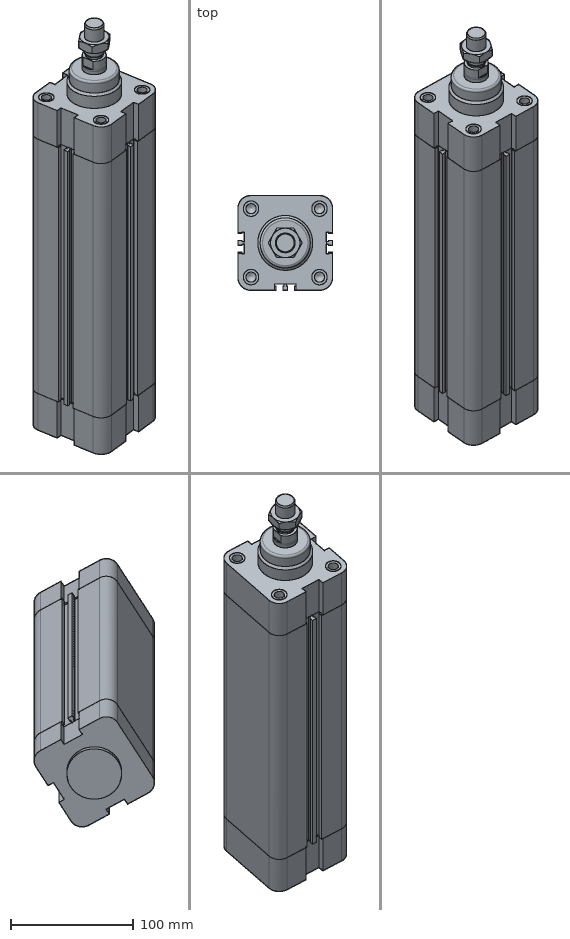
import cadquery as cq
import math

TOTAL_HEIGHT = 394.0

BODY_WIDTH = 77.5
CORNER_RADIUS = 10.5

SPIGOT_HEIGHT = 4.5
CAP_HEIGHT = 36.0
FRONT_CAP_TOP = 325.0
FRONT_CAP_BASE = FRONT_CAP_TOP - CAP_HEIGHT
REAR_CAP_TOP = SPIGOT_HEIGHT + CAP_HEIGHT

COLLAR_DIAMETER = 45.0
COLLAR_STEP_HEIGHT = 13.8
NECK_DIAMETER = 41.0
NECK_TOP = 350.0
CHAMFER_CLEARANCE = 0.005
COLLAR_CHAMFER = (COLLAR_DIAMETER - NECK_DIAMETER) / 2 - CHAMFER_CLEARANCE
NECK_FILLET = 2.0

CAP_SLOT_WIDTH = 17.5
CAP_SLOT_DEPTH = 5.0
BARREL_SLOT_WIDTH = 15.0
BARREL_SLOT_DEPTH = 6.5
BARREL_UNDERCUT_WIDTH = 19.7
BARREL_LIP_THICKNESS = 3.5
BARREL_RIB_WIDTH = 4.0
BARREL_RIB_NECK = 2.5
SLOT_ANGLES = (0, 180, 270)

MOUNT_PITCH = 56.0
MOUNT_HOLE_DIAMETER = 8.3
MOUNT_HOLE_DEPTH = 19.7
COUNTERBORE_DIAMETER = 12.5
COUNTERBORE_DEPTH = 0.5
DRILL_POINT_ANGLE = 118.0

ROD_DIAMETER = 20.0
TIP_DIAMETER = 19.7
TAPER_BASE = 353.0
TAPER_TOP = 354.2
FLATS_BASE = 354.5
FLATS_WIDTH = 17.0
SHOULDER_Z = 363.0
RELIEF_DIAMETER = 14.5
RELIEF_HEIGHT = 2.5
THREAD_DIAMETER = 16.0
THREAD_CHAMFER_HEIGHT = 1.5

NUT_WIDTH = 24.0
NUT_HEIGHT = 8.5
NUT_BASE = 372.0
NUT_CHAMFER_ANGLE = 35.0


def cylinder(diameter, base, top):
    """Solid cylinder on the axis between two heights."""
    return cq.Workplane("XY").workplane(offset=base).circle(diameter / 2).extrude(top - base)


def square_column(base, top):
    """Square column with rounded vertical edges between two heights."""
    column = cq.Workplane("XY").workplane(offset=base).rect(BODY_WIDTH, BODY_WIDTH).extrude(top - base)
    return column.edges("|Z").fillet(CORNER_RADIUS)


def side_box(width, depth, base, top, angle):
    """Box of the given depth lying just inside one side; an angle of 0 puts it on the +X side."""
    box = cq.Workplane("XY").box(depth, width, top - base, centered=(True, True, False))
    box = box.translate((BODY_WIDTH / 2 - depth / 2, 0, base))
    return box.rotate((0, 0, 0), (0, 0, 1), angle)


def slotted_cap(base):
    """Square cap with a plain slot in three of its sides."""
    top = base + CAP_HEIGHT
    cap = square_column(base, top)
    for angle in SLOT_ANGLES:
        cap = cap.cut(side_box(CAP_SLOT_WIDTH, CAP_SLOT_DEPTH, base, top, angle))
    return cap


def mounting_holes():
    """Cutters for the four counterbored blind holes with drill points."""
    radius = MOUNT_HOLE_DIAMETER / 2
    point_depth = radius / math.tan(math.radians(DRILL_POINT_ANGLE / 2))
    cutter = (
        cq.Workplane("XZ")
        .moveTo(0, 0)
        .lineTo(COUNTERBORE_DIAMETER / 2, 0)
        .lineTo(COUNTERBORE_DIAMETER / 2, -COUNTERBORE_DEPTH)
        .lineTo(radius, -COUNTERBORE_DEPTH)
        .lineTo(radius, -MOUNT_HOLE_DEPTH)
        .lineTo(0, -MOUNT_HOLE_DEPTH - point_depth)
        .close()
        .revolve(360, (0, 0, 0), (0, 1, 0))
        .val()
    )
    places = cq.Workplane("XY").workplane(offset=FRONT_CAP_TOP).rect(MOUNT_PITCH, MOUNT_PITCH, forConstruction=True)
    return places.vertices().eachpoint(lambda place: cutter.moved(place))


def make_front_cap():
    """Front cap with its stepped collar, mounting holes and rod bore."""
    step_top = FRONT_CAP_TOP + COLLAR_STEP_HEIGHT
    step = cylinder(COLLAR_DIAMETER, FRONT_CAP_TOP, step_top).faces(">Z").chamfer(COLLAR_CHAMFER)
    neck = cylinder(NECK_DIAMETER, FRONT_CAP_TOP, NECK_TOP).faces(">Z").fillet(NECK_FILLET)
    cap = slotted_cap(FRONT_CAP_BASE).union(step).union(neck)
    return cap.cut(mounting_holes()).cut(cylinder(ROD_DIAMETER, FRONT_CAP_BASE, NECK_TOP))


def make_rear_cap():
    """Rear cap with its round centring spigot."""
    return slotted_cap(SPIGOT_HEIGHT).union(cylinder(COLLAR_DIAMETER, 0, SPIGOT_HEIGHT))


def barrel_slot(angle):
    """Cutter for a pair of undercut grooves with a rib between them, in one side of the barrel."""
    span = (REAR_CAP_TOP, FRONT_CAP_BASE, angle)
    mouth = side_box(BARREL_SLOT_WIDTH, BARREL_LIP_THICKNESS, *span)
    mouth = mouth.cut(side_box(BARREL_RIB_WIDTH, BARREL_LIP_THICKNESS, *span))
    undercut = side_box(BARREL_UNDERCUT_WIDTH, BARREL_SLOT_DEPTH, *span)
    undercut = undercut.cut(side_box(BARREL_RIB_NECK, BARREL_SLOT_DEPTH, *span))
    undercut = undercut.cut(side_box(BODY_WIDTH, BARREL_LIP_THICKNESS, *span))
    return mouth.union(undercut)


def make_barrel():
    """Barrel with a pair of undercut grooves in three of its sides."""
    barrel = square_column(REAR_CAP_TOP, FRONT_CAP_BASE)
    for angle in SLOT_ANGLES:
        barrel = barrel.cut(barrel_slot(angle))
    return barrel


def make_rod():
    """Turned rod with a thread relief and a threaded end, milled with two wrench flats."""
    relief_top = SHOULDER_Z + RELIEF_HEIGHT
    rod = (
        cq.Workplane("XZ")
        .moveTo(0, FRONT_CAP_BASE)
        .lineTo(ROD_DIAMETER / 2, FRONT_CAP_BASE)
        .lineTo(ROD_DIAMETER / 2, TAPER_BASE)
        .lineTo(TIP_DIAMETER / 2, TAPER_TOP)
        .lineTo(TIP_DIAMETER / 2, SHOULDER_Z)
        .lineTo(RELIEF_DIAMETER / 2, SHOULDER_Z)
        .lineTo(RELIEF_DIAMETER / 2, relief_top)
        .lineTo(THREAD_DIAMETER / 2, relief_top)
        .lineTo(THREAD_DIAMETER / 2, TOTAL_HEIGHT - THREAD_CHAMFER_HEIGHT)
        .lineTo(RELIEF_DIAMETER / 2, TOTAL_HEIGHT)
        .lineTo(0, TOTAL_HEIGHT)
        .close()
        .revolve(360, (0, 0, 0), (0, 1, 0))
    )
    flats_height = SHOULDER_Z - FLATS_BASE
    waste = cq.Workplane("XY").box(ROD_DIAMETER, ROD_DIAMETER, flats_height, centered=(True, False, False))
    waste = waste.translate((0, FLATS_WIDTH / 2, FLATS_BASE))
    for angle in (0, 180):
        rod = rod.cut(waste.rotate((0, 0, 0), (0, 0, 1), angle))
    return rod


def make_nut():
    """Hexagon nut with corners along X, chamfered at both ends by cones."""
    corner_radius = NUT_WIDTH / math.sqrt(3)
    flat_radius = NUT_WIDTH / 2
    drop = (corner_radius - flat_radius) * math.tan(math.radians(NUT_CHAMFER_ANGLE))
    nut = cq.Workplane("XY").polygon(6, 2 * corner_radius).extrude(NUT_HEIGHT)
    envelope = (
        cq.Workplane("XZ")
        .moveTo(0, 0)
        .lineTo(flat_radius, 0)
        .lineTo(corner_radius, drop)
        .lineTo(corner_radius, NUT_HEIGHT - drop)
        .lineTo(flat_radius, NUT_HEIGHT)
        .lineTo(0, NUT_HEIGHT)
        .close()
        .revolve(360, (0, 0, 0), (0, 1, 0))
    )
    nut = nut.intersect(envelope).translate((0, 0, NUT_BASE))
    return nut.cut(cylinder(THREAD_DIAMETER, NUT_BASE, NUT_BASE + NUT_HEIGHT))


front_cap = make_front_cap()
rear_cap = make_rear_cap()
barrel = make_barrel()
rod = make_rod()
nut = make_nut()

result = cq.Compound.makeCompound([front_cap.val(), rear_cap.val(), barrel.val(), rod.val(), nut.val()])